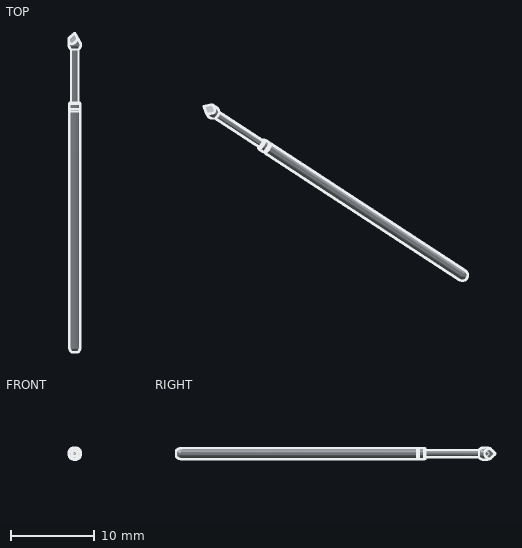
import cadquery as cq
import math

total_length = 38.4

barrel_radius = 0.68
tail_face_radius = 0.32
tail_round_length = 0.65
barrel_length = 30.0
mouth_chamfer_length = 0.17
mouth_chamfer_depth = 0.085
groove_width = 0.25
groove_depth = 0.08
groove_setback = 0.78

stem_radius = 0.46

head_radius = 0.75
head_length = 2.0
head_back_length = 0.6
tip_edge_half_angle = 48.0
facet_count = 3

head_back = total_length - head_length
head_rim = head_back + head_back_length


def tangent_round_middle(inner_radius, outer_radius, length):
    """Middle of an arc that leaves the outer cylinder tangentially and drops to the inner radius.

    Returns the radius there and the distance along Y from the end on the outer cylinder.
    """
    drop = outer_radius - inner_radius
    arc_radius = (drop**2 + length**2) / (2 * drop)
    half_sweep = math.asin(length / arc_radius) / 2
    radius = outer_radius - arc_radius * (1 - math.cos(half_sweep))
    return radius, arc_radius * math.sin(half_sweep)


def revolve_about_y(profile):
    """Close a half profile and turn it fully around the probe axis."""
    return profile.close().revolve(360, (0, 0, 0), (0, 1, 0))


def make_barrel():
    """Tube with a rounded tail and a chamfered mouth."""
    mid_radius, mid_offset = tangent_round_middle(tail_face_radius, barrel_radius, tail_round_length)
    profile = (
        cq.Workplane("XY")
        .lineTo(tail_face_radius, 0)
        .threePointArc((mid_radius, tail_round_length - mid_offset), (barrel_radius, tail_round_length))
        .lineTo(barrel_radius, barrel_length - mouth_chamfer_length)
        .lineTo(barrel_radius - mouth_chamfer_depth, barrel_length)
        .lineTo(0, barrel_length)
    )
    return revolve_about_y(profile)


def make_groove():
    """Rounded crimp ring near the barrel mouth."""
    groove_top = barrel_length - groove_setback
    profile = (
        cq.Workplane("XY")
        .moveTo(barrel_radius, groove_top)
        .threePointArc(
            (barrel_radius - groove_depth, groove_top - groove_width / 2),
            (barrel_radius, groove_top - groove_width),
        )
    )
    return revolve_about_y(profile)


def make_plunger():
    """Round stem with a thicker head blank at the tip."""
    mid_radius, mid_offset = tangent_round_middle(stem_radius, head_radius, head_back_length)
    profile = (
        cq.Workplane("XY")
        .moveTo(0, barrel_length)
        .lineTo(stem_radius, barrel_length)
        .lineTo(stem_radius, head_back)
        .threePointArc((mid_radius, head_rim - mid_offset), (head_radius, head_rim))
        .lineTo(head_radius, total_length)
        .lineTo(0, total_length)
    )
    return revolve_about_y(profile)


def make_tip_pyramid():
    """Pyramid with its apex at the tip and one edge running toward -X; it bounds the head."""
    height = total_length - barrel_length
    corner_radius = height * math.tan(math.radians(tip_edge_half_angle))
    corners = []
    for index in range(facet_count):
        angle = math.pi + 2 * math.pi * index / facet_count
        corner_x = corner_radius * math.cos(angle)
        corner_z = corner_radius * math.sin(angle)
        corners.append(cq.Vector(corner_x, barrel_length, corner_z))
    apex = cq.Vector(0, total_length, 0)
    faces = [cq.Face.makeFromWires(cq.Wire.makePolygon(corners, close=True))]
    for index in range(facet_count):
        side = [corners[index], corners[(index + 1) % facet_count], apex]
        faces.append(cq.Face.makeFromWires(cq.Wire.makePolygon(side, close=True)))
    return cq.Workplane("XY").newObject([cq.Solid.makeSolid(cq.Shell.makeShell(faces))])


plunger = make_plunger().intersect(make_tip_pyramid())
result = make_barrel().cut(make_groove()).union(plunger)